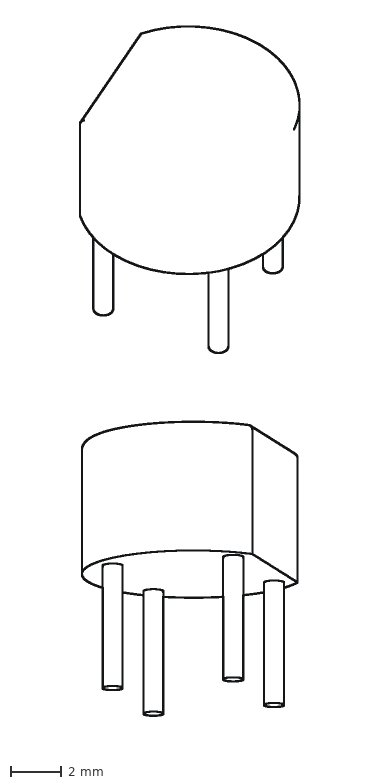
import cadquery as cq

body_diameter = 8.9
body_radius = body_diameter / 2
body_width = 7.89
flat_x = body_radius - body_width
top_fillet = 0.25

total_height = 10.3
pin_length = 5.0
pin_diameter = 0.8
pin_pitch = 5.08
body_height = total_height - pin_length


def make_body():
    """Flatted cylinder standing on Z = 0, with its whole top rim rounded."""
    cylinder = cq.Workplane("XY").circle(body_radius).extrude(body_height)
    kept_side = (
        cq.Workplane("XY")
        .center(flat_x, 0)
        .rect(body_diameter, body_diameter)
        .extrude(body_height)
        .translate((body_diameter / 2, 0, 0))
    )
    return cylinder.intersect(kept_side).faces(">Z").edges().fillet(top_fillet)


def make_pins():
    """Four round pins hanging below the body."""
    return (
        cq.Workplane("XY")
        .rect(pin_pitch, pin_pitch, forConstruction=True)
        .vertices()
        .circle(pin_diameter / 2)
        .extrude(-pin_length)
    )


result = make_body().union(make_pins())